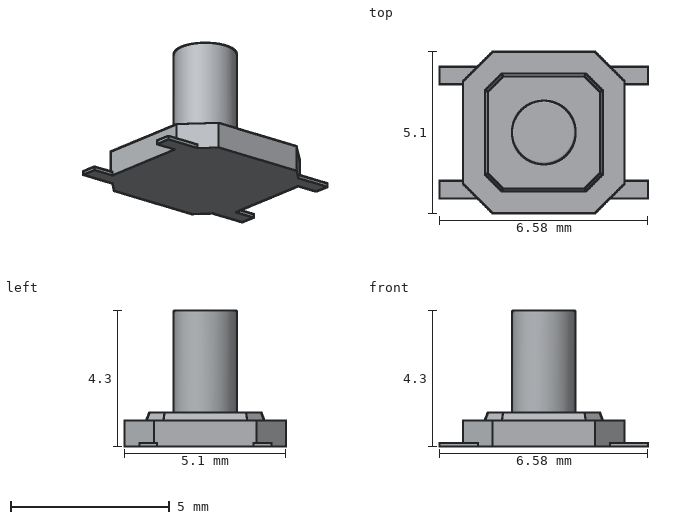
import cadquery as cq

base_width = 5.1
base_corner_cut = 0.94
base_height = 0.83

cover_bottom_width = 3.72
cover_top_width = 3.53
cover_bottom_corner_cut = 0.54
cover_top_corner_cut = 0.48
cover_height = 0.25

button_diameter = 2.01
button_edge_radius = 0.07
total_height = 4.3

terminal_span = 6.58
terminal_width = 0.56
terminal_thickness = 0.12
terminal_pitch = 3.6


def cut_corner_square(width, corner_cut):
    """Points of a centred square with its four corners cut at 45 degrees."""
    side = width / 2
    flat = side - corner_cut
    return [
        (side, -flat),
        (side, flat),
        (flat, side),
        (-flat, side),
        (-side, flat),
        (-side, -flat),
        (-flat, -side),
        (flat, -side),
    ]


def make_base():
    outline = cut_corner_square(base_width, base_corner_cut)
    return cq.Workplane("XY").polyline(outline).close().extrude(base_height)


def make_cover():
    bottom = cut_corner_square(cover_bottom_width, cover_bottom_corner_cut)
    top = cut_corner_square(cover_top_width, cover_top_corner_cut)
    return (
        cq.Workplane("XY")
        .workplane(offset=base_height)
        .polyline(bottom)
        .close()
        .workplane(offset=cover_height)
        .polyline(top)
        .close()
        .loft(ruled=True)
    )


def make_button():
    cover_top = base_height + cover_height
    return (
        cq.Workplane("XY")
        .workplane(offset=cover_top)
        .circle(button_diameter / 2)
        .extrude(total_height - cover_top)
        .faces(">Z")
        .edges()
        .fillet(button_edge_radius)
    )


def make_terminals():
    """Each strip joins a pair of opposite terminals through the base."""
    return (
        cq.Workplane("XY")
        .rarray(1, terminal_pitch, 1, 2)
        .rect(terminal_span, terminal_width)
        .extrude(terminal_thickness)
    )


result = make_base().union(make_cover()).union(make_button()).union(make_terminals())